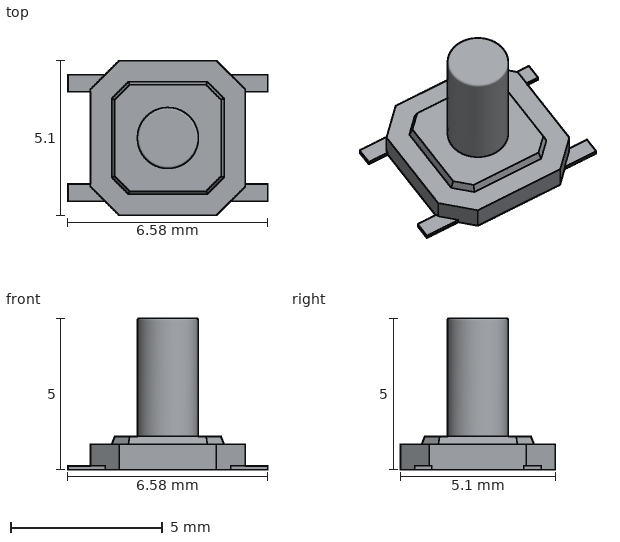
import cadquery as cq
import math

body_size = 5.1
body_height = 0.85
body_corner_cut = 0.95

cover_base_size = 3.7
cover_inset = 0.1
cover_height = 0.25
cover_corner_cut = 0.55
cover_taper = math.degrees(math.atan2(cover_inset, cover_height))

plunger_diameter = 2.01
total_height = 5.0
plunger_edge_radius = 0.08

lead_span = 6.58
lead_width = 0.57
lead_thickness = 0.13
lead_pitch = 3.6


def cut_square(size, cut):
    """Corner points of a centred square with its four corners cut at 45 degrees."""
    outer = size / 2
    inner = outer - cut
    return [
        (inner, -outer),
        (outer, -inner),
        (outer, inner),
        (inner, outer),
        (-inner, outer),
        (-outer, inner),
        (-outer, -inner),
        (-inner, -outer),
    ]


def make_body():
    outline = cut_square(body_size, body_corner_cut)
    return cq.Workplane("XY").polyline(outline).close().extrude(body_height)


def make_cover():
    """Octagonal plate whose sides all lean inward by the same inset."""
    base = (
        cq.Workplane("XY")
        .workplane(offset=body_height)
        .polyline(cut_square(cover_base_size, cover_corner_cut))
        .close()
    )
    return base.extrude(cover_height, taper=cover_taper)


def make_plunger():
    plunger = (
        cq.Workplane("XY")
        .workplane(offset=body_height)
        .circle(plunger_diameter / 2)
        .extrude(total_height - body_height)
    )
    return plunger.faces(">Z").edges().fillet(plunger_edge_radius)


def make_lead(center_y):
    return (
        cq.Workplane("XY")
        .center(0, center_y)
        .rect(lead_span, lead_width)
        .extrude(lead_thickness)
    )


result = make_body().union(make_cover()).union(make_plunger())
for side in (-1, 1):
    result = result.union(make_lead(side * lead_pitch / 2))